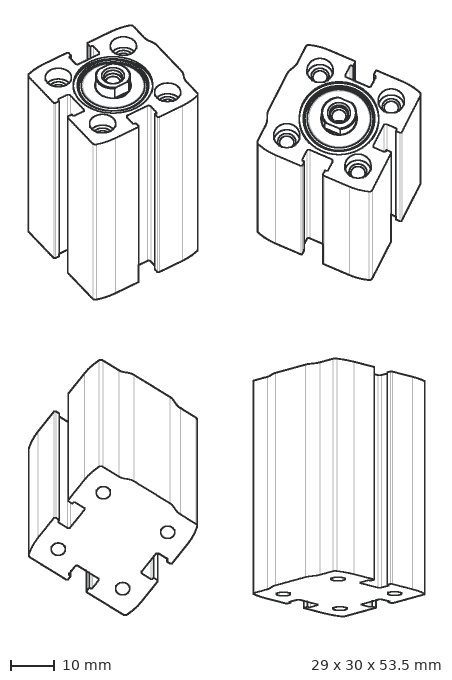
import cadquery as cq
import math


body_height = 50.5
body_half = 14.5
side_flat_half = 9.3
corner_x = 13.55
corner_radius = 0.8

hump_rise = 1.0
hump_flat_half = 5.0
hump_foot_half = 8.6

slot_mouth_half = 2.6
slot_half = 3.25
slot_floor = 10.0
slot_lip_inner = 13.15
slot_floor_radius = 0.5
slot_lip_radius = 0.3

hole_pitch = 18.0
hole_dia = 3.24
hole_mouth_dia = 4.13
counterbore_dia = 6.0
counterbore_depth = 3.5

recess_radius = 18.2 / 2
recess_depth = 0.7
ridge_radius = 8.2
groove_radius = 16.0 / 2
groove_inner_radius = 7.8
shoulder_radius = 7.3
cover_radius = 7.0
ridge_depth = 0.15
groove_depth = 0.6
shoulder_depth = 0.23
cover_depth = 0.15
bore_chamfer = 0.15

rod_dia = 8.0
rod_projection = 3.0
rod_chamfer = 0.2
rod_depth = 12.0
flat_width = 7.0
flat_runout = 0.2
thread_mouth_dia = 5.2
thread_relief_dia = 4.3
thread_relief_depth = 1.45
thread_step_dia = 4.13
thread_dia = 3.24
thread_depth = 8.0
drill_tip_angle = 118.0

cover_z = body_height - cover_depth
rod_top = body_height + rod_projection
flat_end_z = cover_z - bore_chamfer - flat_runout


def housing_profile():
    """Square section with bowed sides and a hump on the rear face."""
    bow_length = body_half - side_flat_half
    bow_inset = body_half - corner_x
    bow_radius = (bow_length**2 + bow_inset**2) / (2 * bow_inset)
    half_angle = math.asin(bow_length / bow_radius) / 2
    bow_mid_x = body_half - bow_radius * (1 - math.cos(half_angle))
    bow_mid_y = side_flat_half + bow_radius * math.sin(half_angle)
    hump_y = body_half + hump_rise
    toward_left = (-1, 0)

    return (
        cq.Workplane("XY")
        .moveTo(-corner_x, -body_half)
        .lineTo(corner_x, -body_half)
        .threePointArc((bow_mid_x, -bow_mid_y), (body_half, -side_flat_half))
        .lineTo(body_half, side_flat_half)
        .threePointArc((bow_mid_x, bow_mid_y), (corner_x, body_half))
        .lineTo(hump_foot_half, body_half)
        .spline([(hump_flat_half, hump_y)], tangents=[toward_left, toward_left], includeCurrent=True)
        .lineTo(-hump_flat_half, hump_y)
        .spline([(-hump_foot_half, body_half)], tangents=[toward_left, toward_left], includeCurrent=True)
        .lineTo(-corner_x, body_half)
        .threePointArc((-bow_mid_x, bow_mid_y), (-body_half, side_flat_half))
        .lineTo(-body_half, -side_flat_half)
        .threePointArc((-bow_mid_x, -bow_mid_y), (-corner_x, -body_half))
        .close()
    )


def round_outer_corners(block):
    for x in (-corner_x, corner_x):
        for y in (-body_half, body_half):
            edge = cq.selectors.NearestToPointSelector((x, y, body_height / 2))
            block = block.edges("|Z").edges(edge).fillet(corner_radius)
    return block


def slot_cutter():
    """T-slot open toward -Y."""
    channel = (
        cq.Workplane("XY")
        .rect(2 * slot_half, slot_lip_inner - slot_floor)
        .extrude(body_height)
        .translate((0, -(slot_lip_inner + slot_floor) / 2, 0))
        .edges("|Z and >Y").fillet(slot_floor_radius)
        .edges("|Z and <Y").fillet(slot_lip_radius)
    )
    mouth = (
        cq.Workplane("XY")
        .rect(2 * slot_mouth_half, body_half - slot_floor)
        .extrude(body_height)
        .translate((0, -(body_half + slot_floor) / 2, 0))
    )
    flare = (
        cq.Workplane("XY")
        .moveTo(-slot_mouth_half - slot_lip_radius, -body_half)
        .radiusArc((-slot_mouth_half, -body_half + slot_lip_radius), -slot_lip_radius)
        .lineTo(slot_mouth_half, -body_half + slot_lip_radius)
        .radiusArc((slot_mouth_half + slot_lip_radius, -body_half), -slot_lip_radius)
        .close()
        .extrude(body_height)
    )
    return channel.union(mouth).union(flare)


def mounting_hole_cutter():
    """Through hole with a countersunk mouth at the floor of its counterbore."""
    floor_z = body_height - counterbore_depth
    mouth_depth = (hole_mouth_dia - hole_dia) / 2
    return (
        cq.Workplane("XZ")
        .moveTo(0, 0)
        .lineTo(hole_dia / 2, 0)
        .lineTo(hole_dia / 2, floor_z - mouth_depth)
        .lineTo(hole_mouth_dia / 2, floor_z)
        .lineTo(counterbore_dia / 2, floor_z)
        .lineTo(counterbore_dia / 2, body_height)
        .lineTo(0, body_height)
        .close()
        .revolve(360, (0, 0, 0), (0, 1, 0))
    )


def cover_recess_cutter():
    """Shallow round recess: conical rim, narrow groove and flat cover with a bevelled edge."""
    return (
        cq.Workplane("XZ")
        .moveTo(0, body_height)
        .lineTo(recess_radius, body_height)
        .lineTo(recess_radius, body_height - recess_depth)
        .lineTo(ridge_radius, body_height - ridge_depth)
        .lineTo(groove_radius, body_height - groove_depth)
        .lineTo(groove_inner_radius, body_height - groove_depth)
        .lineTo(shoulder_radius, body_height - shoulder_depth)
        .lineTo(cover_radius, cover_z)
        .lineTo(0, cover_z)
        .close()
        .revolve(360, (0, 0, 0), (0, 1, 0))
    )


def make_housing():
    housing = round_outer_corners(housing_profile().extrude(body_height))

    for angle in (-90, 0, 90):
        housing = housing.cut(slot_cutter().rotate((0, 0, 0), (0, 0, 1), angle))

    for x in (-hole_pitch / 2, hole_pitch / 2):
        for y in (-hole_pitch / 2, hole_pitch / 2):
            housing = housing.cut(mounting_hole_cutter().translate((x, y, 0)))

    rod_bore = (
        cq.Workplane("XY")
        .workplane(offset=body_height - rod_depth)
        .circle(rod_dia / 2)
        .extrude(rod_depth)
    )
    bore_mouth = cq.Workplane("XY").add(
        cq.Solid.makeCone(
            rod_dia / 2, rod_dia / 2 + bore_chamfer, bore_chamfer,
            pnt=cq.Vector(0, 0, cover_z - bore_chamfer),
        )
    )
    return housing.cut(cover_recess_cutter()).cut(rod_bore).cut(bore_mouth)


def flat_cutter():
    """Removes the +X side of the rod end, leaving a flat with a sloped run-out."""
    return (
        cq.Workplane("XZ")
        .moveTo(rod_dia / 2, flat_end_z)
        .lineTo(flat_width / 2, flat_end_z + flat_runout)
        .lineTo(flat_width / 2, rod_top)
        .lineTo(rod_dia, rod_top)
        .lineTo(rod_dia, flat_end_z)
        .close()
        .extrude(rod_dia, both=True)
    )


def threaded_hole_cutter():
    """Blind tapped hole in the rod end: chamfer, relief, core bore and drill point."""
    mouth_depth = (thread_mouth_dia - thread_relief_dia) / 2
    step = (thread_step_dia - thread_dia) / 2
    tip = thread_dia / 2 / math.tan(math.radians(drill_tip_angle / 2))
    return (
        cq.Workplane("XZ")
        .moveTo(0, rod_top)
        .lineTo(thread_mouth_dia / 2, rod_top)
        .lineTo(thread_relief_dia / 2, rod_top - mouth_depth)
        .lineTo(thread_relief_dia / 2, rod_top - thread_relief_depth)
        .lineTo(thread_step_dia / 2, rod_top - thread_relief_depth)
        .lineTo(thread_dia / 2, rod_top - thread_relief_depth - step)
        .lineTo(thread_dia / 2, rod_top - thread_depth)
        .lineTo(0, rod_top - thread_depth - tip)
        .close()
        .revolve(360, (0, 0, 0), (0, 1, 0))
    )


def make_rod():
    rod = (
        cq.Workplane("XY")
        .workplane(offset=body_height - rod_depth)
        .circle(rod_dia / 2)
        .extrude(rod_depth + rod_projection)
        .faces(">Z").edges().chamfer(rod_chamfer)
    )
    for angle in (0, 180):
        rod = rod.cut(flat_cutter().rotate((0, 0, 0), (0, 0, 1), angle))
    return rod.cut(threaded_hole_cutter())


housing = make_housing()
rod = make_rod()

result = cq.Compound.makeCompound([housing.val(), rod.val()])